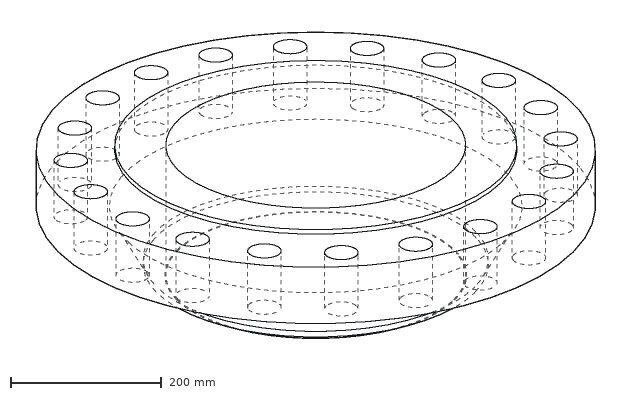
import cadquery as cq

flange_diameter = 743.0
flange_thickness = 82.5
face_diameter = 534.0
face_height = 7.0
overall_height = 190.0
bore_diameter = 398.0

root_diameter = 548.0
root_height = 6.0
cone_top_diameter = 538.0
neck_end_diameter = 458.5
land_height = 8.0
weld_end_diameter = 401.0
weld_bevel_height = 15.5

bolt_count = 20
bolt_circle_diameter = 654.0
bolt_hole_diameter = 44.5

face_level = overall_height
flange_top = face_level - face_height
flange_bottom = flange_top - flange_thickness
cone_top = flange_bottom - root_height
land_bottom = weld_bevel_height
land_top = land_bottom + land_height


def revolved_body():
    """Flange, raised face and tapered weld neck, bored through."""
    bore_radius = bore_diameter / 2
    outer_steps = [
        (weld_end_diameter, 0),
        (neck_end_diameter, land_bottom),
        (neck_end_diameter, land_top),
        (cone_top_diameter, cone_top),
        (root_diameter, flange_bottom),
        (flange_diameter, flange_bottom),
        (flange_diameter, flange_top),
        (face_diameter, flange_top),
        (face_diameter, face_level),
    ]
    profile = [(bore_radius, 0)]
    profile += [(diameter / 2, level) for diameter, level in outer_steps]
    profile += [(bore_radius, face_level)]
    return cq.Workplane("XZ").polyline(profile).close().revolve(360, (0, 0, 0), (0, 1, 0))


def bolt_holes():
    """Ring of through holes, the first one on the +X axis."""
    return (
        cq.Workplane("XY")
        .workplane(offset=flange_bottom)
        .polarArray(bolt_circle_diameter / 2, 0, 360, bolt_count)
        .circle(bolt_hole_diameter / 2)
        .extrude(flange_thickness)
    )


result = revolved_body().cut(bolt_holes())